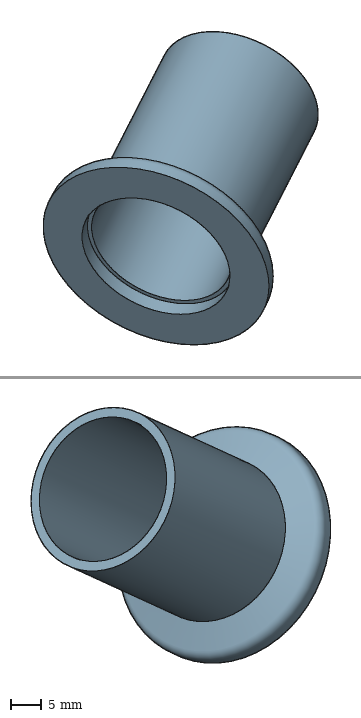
import cadquery as cq
import math

length = 40.0
flange_diameter = 40.0
tube_diameter = 28.0
bore_diameter = 24.7
recess_diameter = 26.2
recess_depth = 2.6
rim_thickness = 1.8
cone_angle = 15.0
edge_radius = 1.6

flange_radius = flange_diameter / 2
tube_radius = tube_diameter / 2
front_y = -length / 2
back_y = length / 2

slope = math.radians(cone_angle)
half_turn = (math.pi / 2 - slope) / 2
arc_center_r = flange_radius - edge_radius
arc_center_y = front_y + rim_thickness


def edge_point(angle):
    """Point on the edge arc; the angle is measured from the radial direction."""
    return (
        arc_center_r + edge_radius * math.cos(angle),
        arc_center_y + edge_radius * math.sin(angle),
    )


cone_start = edge_point(2 * half_turn)
cone_end_y = cone_start[1] + (cone_start[0] - tube_radius) * math.tan(slope)

body = (
    cq.Workplane("XY")
    .moveTo(0, front_y)
    .lineTo(flange_radius, front_y)
    .lineTo(flange_radius, arc_center_y)
    .threePointArc(edge_point(half_turn), cone_start)
    .lineTo(tube_radius, cone_end_y)
    .lineTo(tube_radius, back_y)
    .lineTo(0, back_y)
    .close()
    .revolve(360, (0, 0, 0), (0, 1, 0))
)


def cylinder_from_face(diameter, depth):
    """Cylinder reaching from the flange face toward +Y."""
    return (
        cq.Workplane("XZ", origin=(0, front_y, 0))
        .circle(diameter / 2)
        .extrude(-depth)
    )


bore = cylinder_from_face(bore_diameter, length)
recess = cylinder_from_face(recess_diameter, recess_depth)

result = body.cut(bore).cut(recess)